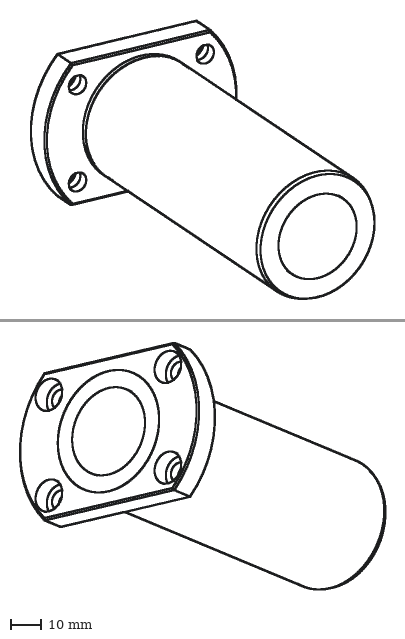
import cadquery as cq

total_length = 123.0

flange_diameter = 73.8
flange_height = 51.0
flange_thickness = 10.0
flange_chamfer = 0.6

sleeve_diameter = 45.0
groove_diameter = 44.0
groove_length = 1.8
taper_length = 1.6
taper_depth = 0.6
bore_diameter = 30.0

seal_diameter = 41.7
seal_recess = 0.1

hole_diameter = 6.6
counterbore_diameter = 11.0
counterbore_depth = 6.2
hole_pitch_y = 49.0
hole_pitch_z = 34.9


def cylinder(diameter, start, length):
    """Solid cylinder on the X axis, running from X = start towards +X."""
    return cq.Workplane("YZ", origin=(start, 0, 0)).circle(diameter / 2).extrude(length)


def make_flange():
    disc = cylinder(flange_diameter, 0, flange_thickness)
    flats = cq.Workplane("YZ").rect(flange_diameter, flange_height).extrude(flange_thickness)
    return disc.intersect(flats).faces("<X or >X").edges().chamfer(flange_chamfer)


def make_sleeve():
    """Revolve the sleeve outline, with its groove and tapered end, about the X axis."""
    groove_radius = groove_diameter / 2
    sleeve_radius = sleeve_diameter / 2
    groove_end = flange_thickness + groove_length
    groove_middle = flange_thickness + groove_length / 2
    return (
        cq.Workplane("XY")
        .lineTo(0, sleeve_radius)
        .lineTo(flange_thickness, sleeve_radius)
        .threePointArc((groove_middle, groove_radius), (groove_end, sleeve_radius))
        .lineTo(total_length - taper_length, sleeve_radius)
        .lineTo(total_length, sleeve_radius - taper_depth)
        .lineTo(total_length, 0)
        .close()
        .revolve(360, (0, 0, 0), (1, 0, 0))
    )


def cut_mounting_holes(body):
    """Cut the four counterbored holes from the flange front face."""
    hole_centres = cq.Workplane("YZ").rect(hole_pitch_y, hole_pitch_z, forConstruction=True).vertices()
    through_holes = hole_centres.circle(hole_diameter / 2).extrude(flange_thickness)
    counterbores = hole_centres.circle(counterbore_diameter / 2).extrude(counterbore_depth)
    return body.cut(through_holes).cut(counterbores)


bushing = make_flange().union(make_sleeve())
bushing = bushing.cut(cylinder(seal_diameter, 0, seal_recess))
bushing = bushing.cut(cylinder(bore_diameter, 0, total_length))
result = cut_mounting_holes(bushing)